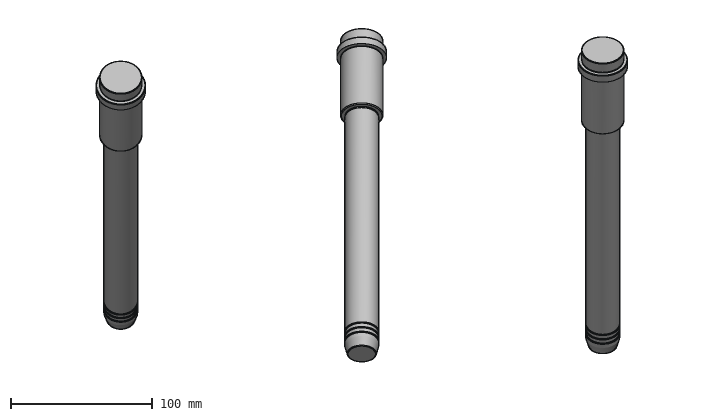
import math

import cadquery as cq

total_length = 270.0
head_length = 65.0
spigot_length = 9.0
flange_thickness = 6.0

flange_diameter = 35.0
head_diameter = 30.0
shaft_diameter = 24.0

head_top_chamfer = 0.5
head_bottom_chamfer = 0.7
flange_chamfer = 0.5

spigot_relief_width = 1.0
spigot_relief_bevel = 0.6
flange_relief_width = 0.5
shaft_relief_width = 1.2
relief_depth = 0.25

oil_groove_count = 3
oil_groove_pitch = 4.0
oil_groove_width = 0.8
oil_groove_depth = 0.5
first_oil_groove_height = 10.5

lead_length = 7.0
lead_angle = 15.0
tip_chamfer = 0.5

shaft_top = total_length - head_length
flange_top = total_length - spigot_length
flange_bottom = flange_top - flange_thickness


def cylinder(diameter, bottom, top):
    """Solid cylinder on the pin axis between two levels."""
    return cq.Workplane("XY").workplane(offset=bottom).circle(diameter / 2).extrude(top - bottom)


def cut_groove(body, diameter, depth, bottom, width):
    """Cut a square ring groove into a surface of the given diameter."""
    ring = (
        cq.Workplane("XY")
        .workplane(offset=bottom)
        .circle(diameter / 2)
        .circle(diameter / 2 - depth)
        .extrude(width)
    )
    return body.cut(ring)


def make_shaft():
    """Long shaft with a conical lead-in and a small chamfer round the flat tip."""
    lead_inset = lead_length * math.tan(math.radians(lead_angle))
    shaft = cylinder(shaft_diameter, 0, shaft_top)
    shaft = shaft.faces("<Z").chamfer(lead_length, lead_inset)
    return shaft.faces("<Z").chamfer(tip_chamfer)


def make_head():
    """Head cylinder with the retaining flange near its upper end."""
    head = cylinder(head_diameter, shaft_top, total_length)
    head = head.faces(">Z").chamfer(head_top_chamfer)
    head = head.faces("<Z").chamfer(head_bottom_chamfer)
    flange = cylinder(flange_diameter, flange_bottom, flange_top)
    flange = flange.faces(">Z").chamfer(flange_chamfer)
    return head.union(flange)


def cut_spigot_relief(body):
    """Relief above the flange, with a conical upper wall running out to the spigot."""
    outer = head_diameter / 2
    inner = outer - relief_depth
    relief_top = flange_top + spigot_relief_width
    profile = [
        (outer, flange_top),
        (outer, relief_top),
        (inner, relief_top - spigot_relief_bevel),
        (inner, flange_top),
    ]
    ring = cq.Workplane("XZ").polyline(profile).close().revolve(360, (0, 0, 0), (0, 1, 0))
    return body.cut(ring)


def cut_shoulder_reliefs(body):
    """Narrow square reliefs below the flange and where the shaft meets the head."""
    body = cut_groove(
        body, head_diameter, relief_depth, flange_bottom - flange_relief_width, flange_relief_width
    )
    return cut_groove(
        body, shaft_diameter, relief_depth, shaft_top - shaft_relief_width, shaft_relief_width
    )


def cut_oil_grooves(body):
    """Evenly spaced ring grooves above the lead-in."""
    for index in range(oil_groove_count):
        bottom = first_oil_groove_height + index * oil_groove_pitch
        body = cut_groove(body, shaft_diameter, oil_groove_depth, bottom, oil_groove_width)
    return body


pin = make_shaft().union(make_head())
pin = cut_spigot_relief(pin)
pin = cut_shoulder_reliefs(pin)
result = cut_oil_grooves(pin)